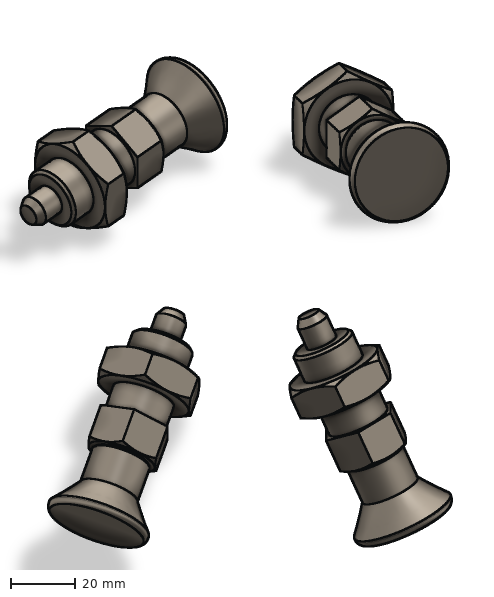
import cadquery as cq
import math


pin_diameter = 10.0
pin_length = 10.0
pin_taper_length = 2.7
pin_taper_angle = 30.0

body_diameter = 20.0
body_chamfer = 1.0

nut_start = 9.0
nut_thickness = 10.0
nut_across_flats = 30.0

hex_start = 28.0
hex_length = 12.0
hex_across_flats = 22.0

corner_chamfer_angle = 30.0
chamfer_circle_inset = 0.1

sleeve_diameter = 19.0
sleeve_chamfer = 0.7
flare_start = 52.3
flare_sag = 0.15
knob_diameter = 33.0
rim_height = 2.4
rim_rounding_height = 1.8
rim_rounding_radius = 2.2

overall_length = 74.0

hex_end = hex_start + hex_length
knob_end = overall_length - pin_length
rim_start = knob_end - rim_height


def revolve_about_y(profile):
    """Revolve a closed XY profile (X is the radius) about the Y axis."""
    return profile.close().revolve(360, (0, 0, 0), (0, 1, 0))


def make_pin():
    radius = pin_diameter / 2
    tip_radius = radius - pin_taper_length * math.tan(math.radians(pin_taper_angle))
    profile = (
        cq.Workplane("XY")
        .moveTo(0, -pin_length)
        .lineTo(tip_radius, -pin_length)
        .lineTo(radius, pin_taper_length - pin_length)
        .lineTo(radius, body_chamfer)
        .lineTo(0, body_chamfer)
    )
    return revolve_about_y(profile)


def make_body():
    radius = body_diameter / 2
    profile = (
        cq.Workplane("XY")
        .lineTo(radius - body_chamfer, 0)
        .lineTo(radius, body_chamfer)
        .lineTo(radius, hex_start)
        .lineTo(0, hex_start)
    )
    return revolve_about_y(profile)


def make_hexagon(start, length, across_flats, chamfer_both_ends):
    """Hexagonal prism with corners on +/-Z; its +Y end is always chamfered."""
    end = start + length
    corner_radius = across_flats / math.sqrt(3)
    circle_radius = across_flats / 2 - chamfer_circle_inset
    chamfer_depth = (corner_radius - circle_radius) * math.tan(math.radians(corner_chamfer_angle))

    prism = (
        cq.Workplane("XZ", origin=(0, end, 0))
        .transformed(rotate=(0, 0, 90))
        .polygon(6, 2 * corner_radius)
        .extrude(length)
    )

    envelope = cq.Workplane("XY").moveTo(0, start)
    if chamfer_both_ends:
        envelope = envelope.lineTo(circle_radius, start).lineTo(corner_radius, start + chamfer_depth)
    else:
        envelope = envelope.lineTo(corner_radius, start)
    envelope = (
        envelope.lineTo(corner_radius, end - chamfer_depth)
        .lineTo(circle_radius, end)
        .lineTo(0, end)
    )
    return prism.intersect(revolve_about_y(envelope))


def make_knob():
    sleeve_radius = sleeve_diameter / 2
    knob_radius = knob_diameter / 2

    flare_length = rim_start - flare_start
    flare_rise = knob_radius - sleeve_radius
    flare_chord = math.hypot(flare_length, flare_rise)
    flare_middle = (
        (sleeve_radius + knob_radius) / 2 - flare_sag * flare_length / flare_chord,
        (flare_start + rim_start) / 2 + flare_sag * flare_rise / flare_chord,
    )

    rounding_center = (knob_radius - rim_rounding_radius, knob_end - rim_rounding_height)
    rounding_angle = math.asin(rim_rounding_height / rim_rounding_radius)
    rounding_middle = (
        rounding_center[0] + rim_rounding_radius * math.cos(rounding_angle / 2),
        rounding_center[1] + rim_rounding_radius * math.sin(rounding_angle / 2),
    )
    rounding_end = (
        rounding_center[0] + rim_rounding_radius * math.cos(rounding_angle),
        knob_end,
    )

    profile = (
        cq.Workplane("XY")
        .moveTo(0, hex_end)
        .lineTo(sleeve_radius - sleeve_chamfer, hex_end)
        .lineTo(sleeve_radius, hex_end + sleeve_chamfer)
        .lineTo(sleeve_radius, flare_start)
        .threePointArc(flare_middle, (knob_radius, rim_start))
        .lineTo(knob_radius, knob_end - rim_rounding_height)
        .threePointArc(rounding_middle, rounding_end)
        .lineTo(0, knob_end)
    )
    return revolve_about_y(profile)


lock_nut = make_hexagon(nut_start, nut_thickness, nut_across_flats, chamfer_both_ends=True)
body_hexagon = make_hexagon(hex_start, hex_length, hex_across_flats, chamfer_both_ends=False)

result = make_body().union(make_pin()).union(lock_nut).union(body_hexagon).union(make_knob())